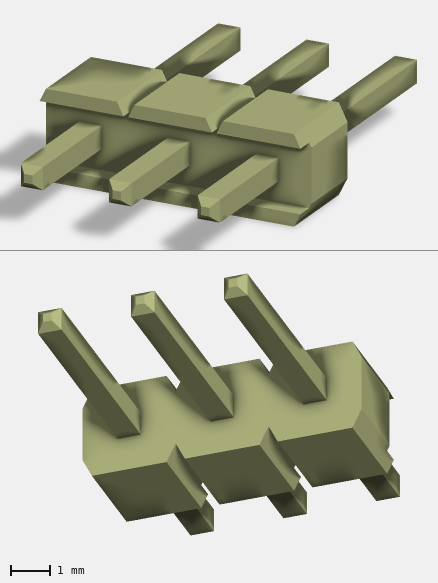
import cadquery as cq


pin_count = 3
pitch = 2.54

housing_depth = pitch
housing_height = pitch
corner_width = 0.25
corner_height = 0.5
recess_depth = 0.5
lip_height = 0.37

pin_size = 0.64
front_length = 3.0
back_length = 6.0
tip_bevel = 0.2

row_length = pin_count * pitch
front_face_y = -housing_depth / 2
back_face_y = housing_depth / 2
pin_start_y = front_face_y - front_length
pin_end_y = back_face_y + back_length
pin_xs = [(i - (pin_count - 1) / 2) * pitch for i in range(pin_count)]


def cell_block(x):
    """One housing cell: an octagonal prism along Y, one pitch wide."""
    half_width = pitch / 2
    half_height = housing_height / 2
    flat_x = half_width - corner_width
    side_z = half_height - corner_height
    outline = [
        (x - half_width, -side_z),
        (x - flat_x, -half_height),
        (x + flat_x, -half_height),
        (x + half_width, -side_z),
        (x + half_width, side_z),
        (x + flat_x, half_height),
        (x - flat_x, half_height),
        (x - half_width, side_z),
    ]
    return (
        cq.Workplane("XZ", origin=(0, back_face_y, 0))
        .polyline(outline)
        .close()
        .extrude(housing_depth)
    )


def pin_bar(x):
    """Square bar over the full length of a pin."""
    return (
        cq.Workplane("XZ", origin=(x, pin_end_y, 0))
        .rect(pin_size, pin_size)
        .extrude(pin_end_y - pin_start_y)
    )


def make_pin(x):
    """Square pin with four bevelled faces at each end."""
    return pin_bar(x).faces("<Y or >Y").chamfer(tip_bevel)


def make_housing():
    """Row of joined cells, with a stepped -Y face and a square hole for each pin."""
    housing = cell_block(pin_xs[0])
    for x in pin_xs[1:]:
        housing = housing.union(cell_block(x))

    recess = (
        cq.Workplane("XZ", origin=(0, front_face_y + recess_depth, 0))
        .rect(row_length, housing_height - 2 * lip_height)
        .extrude(recess_depth)
    )
    housing = housing.cut(recess)

    for x in pin_xs:
        housing = housing.cut(pin_bar(x))
    return housing


housing = make_housing()
pins = [make_pin(x) for x in pin_xs]

result = cq.Compound.makeCompound([housing.val(), *[pin.val() for pin in pins]])